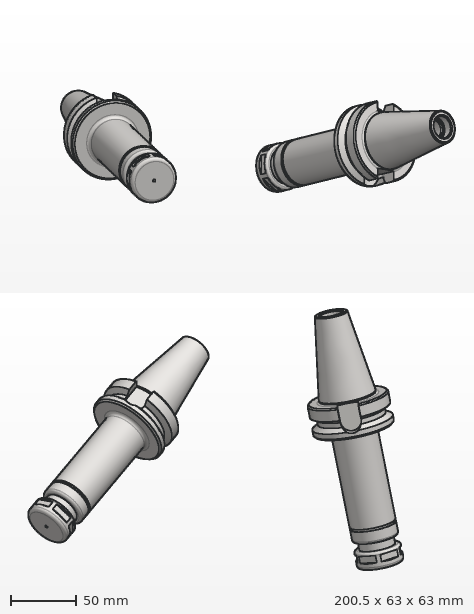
import cadquery as cq
import math

TOTAL_LENGTH = 200.5

TAPER_RATIO = 7 / 24
TAPER_LENGTH = 65.3
TAPER_LARGE_RADIUS = 22.2
TAPER_SMALL_RADIUS = TAPER_LARGE_RADIUS - TAPER_LENGTH * TAPER_RATIO / 2
TAPER_CHAMFER_LENGTH = 0.6
TAPER_CHAMFER_HEIGHT = 1.0

FLANGE_START = 67.1
FLANGE_RADIUS = 31.5
FLANGE_ROOT_RADIUS = 24.0
RELIEF_RADIUS = 21.8
RELIEF_END = 66.5
FLANGE_FRONT_CHAMFER = 1.2
GROOVE_START = 77.2
GROOVE_FLOOR_START = 80.0
GROOVE_FLOOR_END = 84.0
GROOVE_END = 87.0
GROOVE_FLOOR_RADIUS = 26.5
FLANGE_END = 92.5
FLANGE_BACK_CHAMFER = 1.5

SLOT_WIDTH = 16.2
SLOT_FLOOR_HEIGHT = 22.5
SLOT_END = 88.4

BODY_RADIUS = 18.0
BODY_ROOT_FILLET = 2.8
BODY_END = 179.5
BODY_END_FILLET = 2.5
MARK_START = 167.5
MARK_END = 169.3
MARK_DEPTH = 0.5
NECK_RADIUS = 14.0

NUT_START = 186.2
NUT_RADIUS = 18.2
NUT_BACK_FILLET = 2.2
NUT_FRONT_FILLET = 2.8

FLAT_COUNT = 6
FLAT_START = 189.0
FLAT_END = 194.4
FLAT_APOTHEM = 16.6
FLAT_DEPTH = NUT_RADIUS - FLAT_APOTHEM
FLAT_WALL_LEAN = 0.5

MOUTH_RADIUS = 9.5
COUNTERBORE_RADIUS = 17.0 / 2
COUNTERBORE_DEPTH = 7.8
STEP_RADIUS = 16.0 / 2
STEP_LENGTH = 1.2
THREAD_RADIUS = 14.0 / 2
THREAD_DEPTH = 32.0
PILOT_MOUTH_RADIUS = 5.0 / 2
PILOT_RADIUS = 4.5 / 2
PILOT_DEPTH = 100.2
THROUGH_RADIUS = 2.0 / 2


def arc_middle(center_x, center_r, radius, degrees):
    """Point on a profile arc at the given angle from the +X direction."""
    angle = math.radians(degrees)
    return (center_x + radius * math.cos(angle), center_r + radius * math.sin(angle))


def make_body():
    """Revolve the outer profile, drawn as (x, radius), about the X axis."""
    body_root_x = FLANGE_END + BODY_ROOT_FILLET
    body_root_r = BODY_RADIUS + BODY_ROOT_FILLET
    body_end_x = BODY_END - BODY_END_FILLET
    nut_back_x = NUT_START + NUT_BACK_FILLET
    nut_front_x = TOTAL_LENGTH - NUT_FRONT_FILLET
    chamfer_radius = TAPER_SMALL_RADIUS + TAPER_CHAMFER_LENGTH * TAPER_RATIO / 2
    profile = (
        cq.Workplane("XY")
        .lineTo(0, TAPER_SMALL_RADIUS - TAPER_CHAMFER_HEIGHT)
        .lineTo(TAPER_CHAMFER_LENGTH, chamfer_radius)
        .lineTo(TAPER_LENGTH, TAPER_LARGE_RADIUS)
        .lineTo(RELIEF_END, RELIEF_RADIUS)
        .lineTo(FLANGE_START, FLANGE_ROOT_RADIUS)
        .lineTo(FLANGE_START, FLANGE_RADIUS - FLANGE_FRONT_CHAMFER)
        .lineTo(FLANGE_START + FLANGE_FRONT_CHAMFER, FLANGE_RADIUS)
        .lineTo(GROOVE_START, FLANGE_RADIUS)
        .lineTo(GROOVE_FLOOR_START, GROOVE_FLOOR_RADIUS)
        .lineTo(GROOVE_FLOOR_END, GROOVE_FLOOR_RADIUS)
        .lineTo(GROOVE_END, FLANGE_RADIUS)
        .lineTo(FLANGE_END - FLANGE_BACK_CHAMFER, FLANGE_RADIUS)
        .lineTo(FLANGE_END, FLANGE_RADIUS - FLANGE_BACK_CHAMFER)
        .lineTo(FLANGE_END, body_root_r)
        .threePointArc(
            arc_middle(body_root_x, body_root_r, BODY_ROOT_FILLET, 225),
            (body_root_x, BODY_RADIUS),
        )
        .lineTo(MARK_START, BODY_RADIUS)
        .lineTo(MARK_START, BODY_RADIUS - MARK_DEPTH)
        .lineTo(MARK_END, BODY_RADIUS - MARK_DEPTH)
        .lineTo(MARK_END, BODY_RADIUS)
        .lineTo(body_end_x, BODY_RADIUS)
        .threePointArc(
            arc_middle(body_end_x, BODY_RADIUS - BODY_END_FILLET, BODY_END_FILLET, 45),
            (BODY_END, BODY_RADIUS - BODY_END_FILLET),
        )
        .lineTo(BODY_END, NECK_RADIUS)
        .lineTo(NUT_START, NECK_RADIUS)
        .lineTo(NUT_START, NUT_RADIUS - NUT_BACK_FILLET)
        .threePointArc(
            arc_middle(nut_back_x, NUT_RADIUS - NUT_BACK_FILLET, NUT_BACK_FILLET, 135),
            (nut_back_x, NUT_RADIUS),
        )
        .lineTo(nut_front_x, NUT_RADIUS)
        .threePointArc(
            arc_middle(nut_front_x, NUT_RADIUS - NUT_FRONT_FILLET, NUT_FRONT_FILLET, 45),
            (TOTAL_LENGTH, NUT_RADIUS - NUT_FRONT_FILLET),
        )
        .lineTo(TOTAL_LENGTH, 0)
        .close()
    )
    return profile.revolve(360, (0, 0, 0), (1, 0, 0))


def make_bore():
    """Revolved cutter for the stepped bore, entered from the small end of the taper."""
    mouth_depth = MOUTH_RADIUS - COUNTERBORE_RADIUS
    step_start = COUNTERBORE_DEPTH + COUNTERBORE_RADIUS - STEP_RADIUS
    step_end = step_start + STEP_LENGTH
    thread_start = step_end + STEP_RADIUS - THREAD_RADIUS
    pilot_start = THREAD_DEPTH + PILOT_MOUTH_RADIUS - PILOT_RADIUS
    outline = [
        (0, 0),
        (0, MOUTH_RADIUS),
        (mouth_depth, COUNTERBORE_RADIUS),
        (COUNTERBORE_DEPTH, COUNTERBORE_RADIUS),
        (step_start, STEP_RADIUS),
        (step_end, STEP_RADIUS),
        (thread_start, THREAD_RADIUS),
        (THREAD_DEPTH, THREAD_RADIUS),
        (THREAD_DEPTH, PILOT_MOUTH_RADIUS),
        (pilot_start, PILOT_RADIUS),
        (PILOT_DEPTH, PILOT_RADIUS),
        (PILOT_DEPTH, THROUGH_RADIUS),
        (TOTAL_LENGTH, THROUGH_RADIUS),
        (TOTAL_LENGTH, 0),
    ]
    return cq.Workplane("XY").polyline(outline).close().revolve(360, (0, 0, 0), (1, 0, 0))


def make_drive_slot():
    """Cutter for the top drive slot: open toward the taper, round at the far end."""
    round_center = SLOT_END - SLOT_WIDTH / 2
    return (
        cq.Workplane("XY")
        .workplane(offset=SLOT_FLOOR_HEIGHT)
        .moveTo(TAPER_LENGTH, -SLOT_WIDTH / 2)
        .lineTo(round_center, -SLOT_WIDTH / 2)
        .threePointArc((SLOT_END, 0), (round_center, SLOT_WIDTH / 2))
        .lineTo(TAPER_LENGTH, SLOT_WIDTH / 2)
        .close()
        .extrude(FLANGE_RADIUS - SLOT_FLOOR_HEIGHT)
    )


def make_wrench_flat():
    """Cutter for the wrench flat on the +Y side, with both end walls leaning outward.

    The cutter reaches one more flat depth beyond the nut rim.
    """
    cutter_top = FLAT_APOTHEM + 2 * FLAT_DEPTH
    cutter_lean = 2 * FLAT_WALL_LEAN
    return (
        cq.Workplane("XY")
        .polyline([
            (FLAT_START, FLAT_APOTHEM),
            (FLAT_END, FLAT_APOTHEM),
            (FLAT_END + cutter_lean, cutter_top),
            (FLAT_START - cutter_lean, cutter_top),
        ])
        .close()
        .extrude(NUT_RADIUS, both=True)
    )


result = make_body()

for turn in (0, 180):
    result = result.cut(make_drive_slot().rotate((0, 0, 0), (1, 0, 0), turn))

for index in range(FLAT_COUNT):
    turn = index * 360 / FLAT_COUNT
    result = result.cut(make_wrench_flat().rotate((0, 0, 0), (1, 0, 0), turn))

result = result.cut(make_bore())